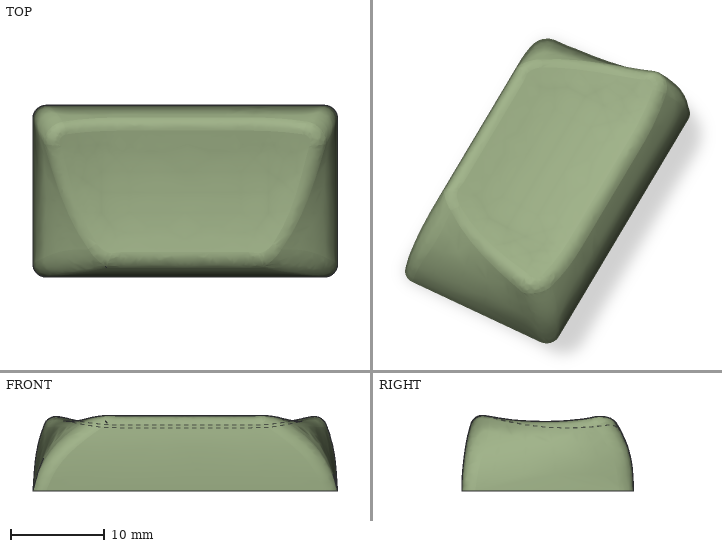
import cadquery as cq

length = 32.63
depth = 18.4
half_length = length / 2
half_depth = depth / 2

wall_stations = [
    (0.0, 0.0, 0.0, 0.0, 0.0, 1.47, 1.47),
    (2.3, 0.1, 0.13, 0.8, 0.1, 1.8, 1.63),
    (4.25, 0.33, 0.5, 2.12, 0.2, 2.3, 1.8),
    (5.87, 0.62, 1.1, 3.9, 0.33, 2.77, 1.95),
    (7.18, 0.98, 1.8, 5.87, 0.45, 2.95, 1.95),
    (8.8, 1.63, 2.85, 8.5, 0.78, 2.95, 1.95),
]

dish_low_y = 2.12
dish_low_z = 6.75
dish_curvature = 0.01686
straight_half_length = 7.15
end_rise_curvature = 0.02544
rim_radius = 1.37

dish_overhang = 1.63
dish_columns = 45
dish_rows = 15
fit_tolerance = 0.01
cutter_height = 19.58

match_tolerance = 3.26e-05


def wall_section(height, front_inset, rear_inset, front_corner_inset, rear_corner_inset,
                 front_radius, rear_radius):
    """Rounded trapezoid outline of the body at one height."""
    front_y = front_inset - half_depth
    rear_y = half_depth - rear_inset
    front_x = half_length - front_corner_inset
    rear_x = half_length - rear_corner_inset
    outline = cq.Wire.makePolygon(
        [
            cq.Vector(-front_x, front_y, height),
            cq.Vector(front_x, front_y, height),
            cq.Vector(rear_x, rear_y, height),
            cq.Vector(-rear_x, rear_y, height),
        ],
        close=True,
    )
    front_corners = [v for v in outline.Vertices() if v.Y < 0]
    outline = outline.fillet2D(front_radius, front_corners)
    rear_corners = [v for v in outline.Vertices() if v.Y > rear_y - match_tolerance]
    return outline.fillet2D(rear_radius, rear_corners)


def dish_height(x, y):
    """Height of the dished top above the base."""
    beyond_middle = max(0.0, abs(x) - straight_half_length)
    return dish_low_z + dish_curvature * (y - dish_low_y) ** 2 + end_rise_curvature * beyond_middle**2


def spread(half_span, count):
    """Evenly spaced positions from -half_span to half_span."""
    return [half_span * (2 * i / (count - 1) - 1) for i in range(count)]


def dish_cutter():
    """Everything above the dished top."""
    grid = [
        [cq.Vector(x, y, dish_height(x, y)) for y in spread(half_depth + dish_overhang, dish_rows)]
        for x in spread(half_length + dish_overhang, dish_columns)
    ]
    dish = cq.Face.makeSplineApprox(grid, tol=fit_tolerance, minDeg=3, maxDeg=5)
    return cq.Solid.extrudeLinear(dish, cq.Vector(0, 0, cutter_height))


body = cq.Solid.makeLoft([wall_section(*station) for station in wall_stations])
body = cq.Workplane(obj=body).cut(cq.Workplane(obj=dish_cutter()))

dish_face = body.faces(cq.selectors.NearestToPointSelector((0, dish_low_y, dish_low_z)))
result = dish_face.edges().fillet(rim_radius)